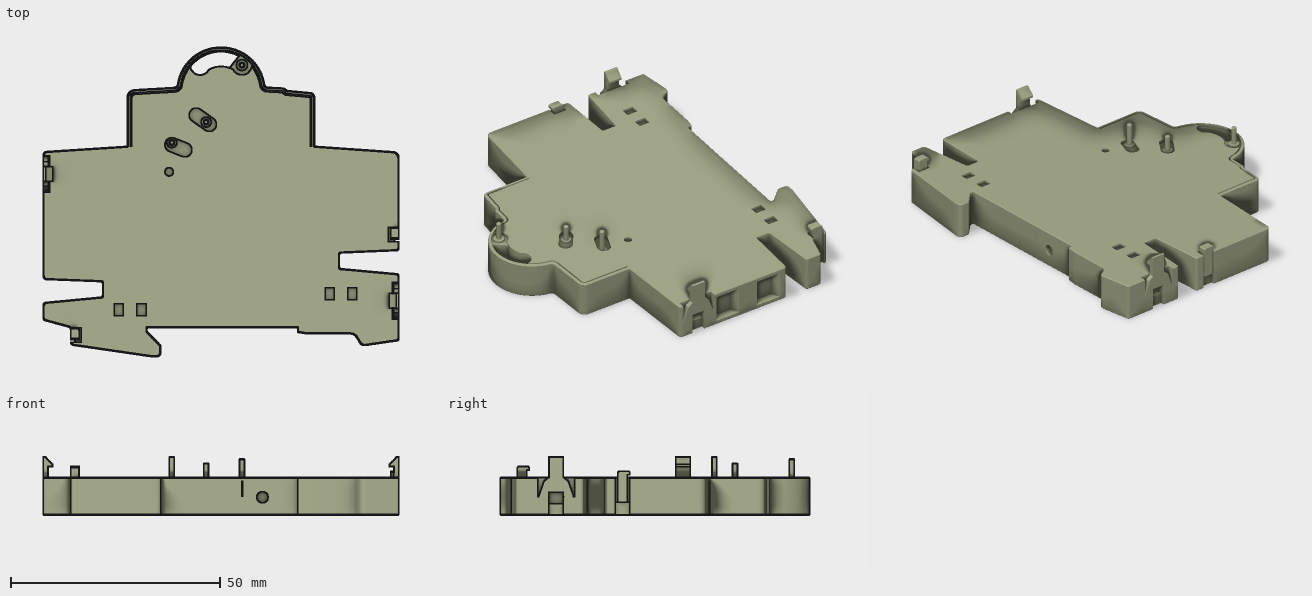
import cadquery as cq
import math

HALF_WIDTH = 42.5
THICKNESS = 9.0
OVERALL_HEIGHT = 13.9
EDGE_CHAMFER = 0.2
OVERLAP = 0.2

SHOULDER_HALF_WIDTH = 22.4
SHOULDER_BASE_Y = 43.3
DOME_RADIUS = 10.5
DOME_TOP_Y = 67.0
DOME_CENTRE_Y = DOME_TOP_Y - DOME_RADIUS
DOME_BASE_FILLET = 0.8
OVERALL_LENGTH = 73.96
FOOT_BOTTOM_Y = DOME_TOP_Y - OVERALL_LENGTH

FOOT_STEP_X = -35.9
CLAW_TIP_X = -14.4

RIM_WIDTH = 0.7
GROOVE_WIDTH = 0.4
GROOVE_DEPTH = 0.8

OPENING_INNER_RADIUS = 5.9
OPENING_OUTER_RADIUS = DOME_RADIUS - RIM_WIDTH - GROOVE_WIDTH
OPENING_END_X = 5.0
OPENING_END_Y = 62.7
OPENING_END_RADIUS = 2.35
SEAT_FLANK = 1.9
SEAT_REACH = 1.9
SEAT_TOP = 8.4
SEAT_RING_RADIUS = 1.3

PIN_RADIUS = 0.62
PIN_CHAMFER = 0.15
COLLAR_RADIUS = 1.2
SLOT_DEPTH = 1.0
SLOT_RADIUS = 1.7
SLOT_FLOOR = THICKNESS - SLOT_DEPTH
COLLAR_HEIGHT = 0.5
COLLAR_TOP = SLOT_FLOOR + COLLAR_HEIGHT
DOME_PIN_TOP = 13.4
SLOTTED_PINS = (
    ((-5.9, 50.75), (-2.8, 48.55), (-3.55, 49.1), 12.35),
    ((-11.7, 43.65), (-8.65, 42.45), (-11.75, 44.2), OVERALL_HEIGHT),
)

CLIP_WIDTH = 3.5
CLIP_THICKNESS = 1.2
CLIP_POCKET_WIDTH = 8.8
CLIP_POCKET_DEPTH = 1.6
CLIP_ROOT_Z = 4.4
CLIP_FLARE_HALF_WIDTH = 2.9
CLIP_FLARE_Z = 8.1
HOOK_REACH = 2.3
HOOK_CREST = 0.6
HOOK_SHOULDER_REACH = 1.1
HOOK_SHOULDER_Z = 13.25
HOOK_UNDERSIDE_Z = 11.55
HOOK_TIP_Z = 12.1
LEFT_CLIP_Y = 36.7
RIGHT_CLIP_Y = 6.4
CLIP_RELIEF_HEIGHT = 5.5
CLIP_RELIEF_DEEP_DEPTH = 2.4
CLIP_RELIEF_DEEP_Z = 2.7

POST_POCKET_X = 2.5
POST_POCKET_Y = 3.5
POST_THICKNESS = 2.0
POST_WIDTH = 2.3
POST_HOOK = 0.6
POST_HOOK_HEIGHT = 0.9
POST_CHAMFER = 0.3
POST_ROOT_Z = 3.0
LEFT_POST_Y = -1.75
LEFT_POST_TOP = 11.6
RIGHT_POST_Y = 22.25
RIGHT_POST_TOP = 10.5
POST_RELIEF_DEPTH = 1.0

WINDOW_CENTRES_Y = (28.4, 16.8)
WINDOW_WIDTH = 6.5
WINDOW_BOTTOM = 1.1
WINDOW_TOP = 8.0
WINDOW_DEPTH = 2.0
WINDOW_TAPER = 1.05

POCKET_X = 2.2
POCKET_Y = 2.85
POCKET_DEPTH = 1.0
POCKET_CENTRES = ((-24.4, 4.25), (-19.0, 4.25), (26.0, 8.05), (31.35, 8.05))

TOP_HOLE_CENTRE = (-12.4, 37.2)
TOP_HOLE_RADIUS = 1.0
TOP_HOLE_DEPTH = 1.0
RAIL_HOLE_X = 9.9
RAIL_HOLE_Z = 4.25
RAIL_HOLE_RADIUS = 1.35
RAIL_HOLE_DEPTH = 2.0
SLIT_X = 5.0
SLIT_WIDTH = 0.15
SLIT_BOTTOM = 4.5
SLIT_TOP = 8.1
SLIT_DEPTH = 0.5


def box(x_min, x_max, y_min, y_max, z_min, z_max):
    size = (x_max - x_min, y_max - y_min, z_max - z_min)
    return cq.Workplane("XY").box(*size, centered=False).translate((x_min, y_min, z_min))


def cylinder(x, y, radius, z_min, z_max):
    return cq.Workplane("XY", origin=(x, y, z_min)).circle(radius).extrude(z_max - z_min)


def rounded_outline(corners):
    """Closed outline through (x, y, radius) corners, each rounded by a tangent arc."""
    outline = None
    for i, (x, y, radius) in enumerate(corners):
        corner = cq.Vector(x, y)
        before = (cq.Vector(*corners[i - 1][:2]) - corner).normalized()
        after = (cq.Vector(*corners[(i + 1) % len(corners)][:2]) - corner).normalized()
        half_angle = before.getAngle(after) / 2
        tangent_length = radius / math.tan(half_angle)
        arc_start = corner + before * tangent_length
        arc_end = corner + after * tangent_length
        apex_distance = radius / math.sin(half_angle) - radius
        arc_middle = corner + (before + after).normalized() * apex_distance
        if outline is None:
            outline = cq.Workplane("XY").moveTo(arc_start.x, arc_start.y)
        else:
            outline = outline.lineTo(arc_start.x, arc_start.y)
        outline = outline.threePointArc(arc_middle.toTuple()[:2], arc_end.toTuple()[:2])
    return outline.close()


def make_body():
    corners = [
        (-SHOULDER_HALF_WIDTH, SHOULDER_BASE_Y, 0.1),
        (-HALF_WIDTH, 42.0, 1.0),
        (-HALF_WIDTH, 11.5, 0.9),
        (-28.3, 10.95, 0.4),
        (-28.3, 7.3, 0.4),
        (-HALF_WIDTH, 5.95, 0.8),
        (-HALF_WIDTH, 1.8, 0.8),
        (FOOT_STEP_X, 0.0, 0.8),
        (FOOT_STEP_X, -4.15, 0.8),
        (-16.6, FOOT_BOTTOM_Y, 0.4),
        (CLAW_TIP_X, FOOT_BOTTOM_Y, 1.0),
        (CLAW_TIP_X, -4.3, 0.5),
        (-17.7, -0.9, 0.3),
        (-17.7, 0.0, 0.2),
        (18.3, 0.0, 0.2),
        (18.3, -1.15, 0.35),
        (20.7, -1.5, 0.4),
        (31.9, -1.5, 1.8),
        (33.6, -4.4, 1.4),
        (HALF_WIDTH, -3.1, 0.6),
        (HALF_WIDTH, 12.8, 0.6),
        (28.3, 14.1, 0.4),
        (28.3, 17.8, 0.4),
        (HALF_WIDTH, 18.4, 0.6),
        (HALF_WIDTH, 41.9, 1.5),
        (SHOULDER_HALF_WIDTH, SHOULDER_BASE_Y, 0.1),
        (SHOULDER_HALF_WIDTH, 56.0, 1.3),
        (15.8, 56.6, 0.2),
        (14.9, 57.2, 0.4),
        (0.0, 58.0, 0.1),
        (-SHOULDER_HALF_WIDTH, 56.7, 1.9),
    ]
    body = rounded_outline(corners).extrude(THICKNESS)
    body = body.union(cylinder(0, DOME_CENTRE_Y, DOME_RADIUS, 0, THICKNESS))
    margin = 1.0
    dome_base = cq.selectors.BoxSelector(
        (-DOME_RADIUS - margin, DOME_CENTRE_Y, -margin),
        (DOME_RADIUS + margin, DOME_CENTRE_Y + 2 * margin, THICKNESS + margin),
    )
    return body.edges("|Z").edges(dome_base).fillet(DOME_BASE_FILLET)


def inset_plate(body, inset):
    """Top-face outline moved inwards, one groove depth thick, shoulder and dome only."""
    face_wire = body.faces(">Z").wires().val()
    plate = cq.Workplane("XY").add(face_wire.offset2D(-inset)[0]).toPending().extrude(-GROOVE_DEPTH)
    keep = box(
        -HALF_WIDTH, HALF_WIDTH, SHOULDER_BASE_Y, DOME_TOP_Y, THICKNESS - GROOVE_DEPTH, THICKNESS
    )
    return plate.intersect(keep)


def make_rim_groove(body):
    outer = inset_plate(body, RIM_WIDTH)
    return outer.cut(inset_plate(body, RIM_WIDTH + GROOVE_WIDTH))


def make_dome_opening():
    """Through slot that follows the dome, with a round recess at each end."""
    end_reach = math.atan2(OPENING_END_X, OPENING_END_Y - DOME_CENTRE_Y)
    far = 2 * DOME_RADIUS
    sector = (
        cq.Workplane("XY")
        .polyline([
            (0, DOME_CENTRE_Y),
            (-far * math.sin(end_reach), DOME_CENTRE_Y + far * math.cos(end_reach)),
            (far * math.sin(end_reach), DOME_CENTRE_Y + far * math.cos(end_reach)),
        ])
        .close()
        .extrude(THICKNESS)
    )
    disc = cylinder(0, DOME_CENTRE_Y, OPENING_OUTER_RADIUS, 0, THICKNESS)
    opening = sector.intersect(disc)
    opening = opening.cut(cylinder(0, DOME_CENTRE_Y, OPENING_INNER_RADIUS, 0, THICKNESS))
    for side in (-1, 1):
        end = cylinder(side * OPENING_END_X, OPENING_END_Y, OPENING_END_RADIUS, 0, THICKNESS)
        opening = opening.union(end.intersect(disc))
    return opening


def make_pin(x, y, root, top):
    return cylinder(x, y, PIN_RADIUS, root, top).faces(">Z").chamfer(PIN_CHAMFER)


def make_dome_pin():
    """Pin on a block seat that closes the right end of the dome opening."""
    angle = math.degrees(math.atan2(OPENING_END_Y - DOME_CENTRE_Y, OPENING_END_X))
    seat = (
        box(-OPENING_END_RADIUS, SEAT_REACH, -OPENING_END_RADIUS, SEAT_FLANK, 0, SEAT_TOP)
        .rotate((0, 0, 0), (0, 0, 1), angle)
        .translate((OPENING_END_X, OPENING_END_Y, 0))
    )
    ring = cylinder(OPENING_END_X, OPENING_END_Y, SEAT_RING_RADIUS, 0, THICKNESS)
    return seat.union(ring).union(make_pin(OPENING_END_X, OPENING_END_Y, 0, DOME_PIN_TOP))


def make_slot(start, end):
    dx = end[0] - start[0]
    dy = end[1] - start[1]
    length = math.hypot(dx, dy) + 2 * SLOT_RADIUS
    return (
        cq.Workplane("XY")
        .slot2D(length, 2 * SLOT_RADIUS, math.degrees(math.atan2(dy, dx)))
        .extrude(SLOT_DEPTH)
        .translate(((start[0] + end[0]) / 2, (start[1] + end[1]) / 2, SLOT_FLOOR))
    )


def add_slot_pin(body, slot_start, slot_end, pin_centre, pin_top):
    body = body.cut(make_slot(slot_start, slot_end))
    collar = cylinder(*pin_centre, COLLAR_RADIUS, SLOT_FLOOR - OVERLAP, COLLAR_TOP)
    return body.union(collar).union(make_pin(*pin_centre, SLOT_FLOOR - OVERLAP, pin_top))


def on_end(shape, x, y, side):
    """Move a left-end feature modelled at the origin to (x, y), mirrored for the right end (side 1)."""
    if side > 0:
        shape = shape.mirror("YZ")
    return shape.translate((x, y, 0))


def add_clip(body, y, side):
    half_pocket = CLIP_POCKET_WIDTH / 2
    half_clip = CLIP_WIDTH / 2
    pocket = box(0, CLIP_POCKET_DEPTH, -half_pocket, half_pocket, CLIP_ROOT_Z, THICKNESS)
    tongue = (
        cq.Workplane("YZ")
        .polyline([
            (-half_pocket, CLIP_ROOT_Z - OVERLAP),
            (half_pocket, CLIP_ROOT_Z - OVERLAP),
            (half_pocket - OVERLAP, CLIP_ROOT_Z),
            (CLIP_FLARE_HALF_WIDTH, CLIP_FLARE_Z),
            (half_clip, THICKNESS),
            (half_clip, OVERALL_HEIGHT),
            (-half_clip, OVERALL_HEIGHT),
            (-half_clip, THICKNESS),
            (-CLIP_FLARE_HALF_WIDTH, CLIP_FLARE_Z),
            (-half_pocket + OVERLAP, CLIP_ROOT_Z),
        ])
        .close()
        .extrude(CLIP_THICKNESS)
    )
    hook = (
        cq.Workplane("XZ", origin=(0, half_clip, 0))
        .polyline([
            (0, HOOK_UNDERSIDE_Z),
            (HOOK_REACH, HOOK_UNDERSIDE_Z),
            (HOOK_REACH, HOOK_TIP_Z),
            (HOOK_SHOULDER_REACH, HOOK_SHOULDER_Z),
            (HOOK_CREST, OVERALL_HEIGHT),
            (0, OVERALL_HEIGHT),
        ])
        .close()
        .extrude(CLIP_WIDTH)
    )
    hook_room = box(0, CLIP_THICKNESS, -half_clip, half_clip, HOOK_UNDERSIDE_Z, OVERALL_HEIGHT)
    clip = tongue.cut(hook_room).union(hook)
    relief = box(0, CLIP_THICKNESS, -half_clip, half_clip, 0, CLIP_RELIEF_HEIGHT)
    relief = relief.union(
        box(0, CLIP_RELIEF_DEEP_DEPTH, -half_clip, half_clip, CLIP_RELIEF_DEEP_Z, CLIP_RELIEF_HEIGHT)
    )
    pocket, clip, relief = (
        on_end(shape, side * HALF_WIDTH, y, side) for shape in (pocket, clip, relief)
    )
    return body.cut(pocket).union(clip).cut(relief)


def make_post(top):
    """Latch post with its outer face at X = 0, centred on Y = 0, hooked towards +Y."""
    half_width = POST_WIDTH / 2
    stem = box(0, POST_THICKNESS, -half_width, half_width, POST_ROOT_Z - OVERLAP, top)
    hook_bottom = top - POST_HOOK_HEIGHT
    hook = box(0, POST_THICKNESS, half_width, half_width + POST_HOOK, hook_bottom, top)
    return stem.union(hook).faces(">Z").edges("|X").chamfer(POST_CHAMFER)


def add_post(body, x, y, top, side):
    half_pocket = POST_POCKET_Y / 2
    pocket = box(0, POST_POCKET_X, -half_pocket, half_pocket, POST_ROOT_Z, THICKNESS)
    relief = box(0, POST_RELIEF_DEPTH, -half_pocket, half_pocket, 0, POST_ROOT_Z)
    pocket, post, relief = (
        on_end(shape, x, y, side) for shape in (pocket, make_post(top), relief)
    )
    return body.cut(pocket).union(post).cut(relief)


def make_window(y):
    half_mouth = WINDOW_WIDTH / 2
    half_floor = half_mouth - WINDOW_TAPER
    return (
        cq.Workplane("XY", origin=(-HALF_WIDTH, y, WINDOW_BOTTOM))
        .polyline([
            (0, -half_mouth),
            (WINDOW_DEPTH, -half_floor),
            (WINDOW_DEPTH, half_floor),
            (0, half_mouth),
        ])
        .close()
        .extrude(WINDOW_TOP - WINDOW_BOTTOM)
    )


def make_top_pockets():
    return (
        cq.Workplane("XY", origin=(0, 0, THICKNESS))
        .pushPoints(POCKET_CENTRES)
        .rect(POCKET_X, POCKET_Y)
        .extrude(-POCKET_DEPTH)
    )


def make_rail_hole():
    return (
        cq.Workplane("XZ", origin=(RAIL_HOLE_X, 0, RAIL_HOLE_Z))
        .circle(RAIL_HOLE_RADIUS)
        .extrude(-RAIL_HOLE_DEPTH)
    )


housing = make_body()
rim_groove = make_rim_groove(housing)
housing = housing.faces("<Z or >Z").chamfer(EDGE_CHAMFER)
housing = housing.cut(rim_groove)
housing = housing.cut(make_dome_opening()).union(make_dome_pin())

for slot_start, slot_end, pin_centre, pin_top in SLOTTED_PINS:
    housing = add_slot_pin(housing, slot_start, slot_end, pin_centre, pin_top)

for window_y in WINDOW_CENTRES_Y:
    housing = housing.cut(make_window(window_y))
housing = housing.cut(make_top_pockets())
housing = housing.cut(
    cylinder(*TOP_HOLE_CENTRE, TOP_HOLE_RADIUS, THICKNESS - TOP_HOLE_DEPTH, THICKNESS)
)
housing = housing.cut(make_rail_hole())
housing = housing.cut(box(SLIT_X, SLIT_X + SLIT_WIDTH, 0, SLIT_DEPTH, SLIT_BOTTOM, SLIT_TOP))

housing = add_clip(housing, LEFT_CLIP_Y, -1)
housing = add_clip(housing, RIGHT_CLIP_Y, 1)
housing = add_post(housing, FOOT_STEP_X, LEFT_POST_Y, LEFT_POST_TOP, -1)
housing = add_post(housing, HALF_WIDTH, RIGHT_POST_Y, RIGHT_POST_TOP, 1)

result = housing